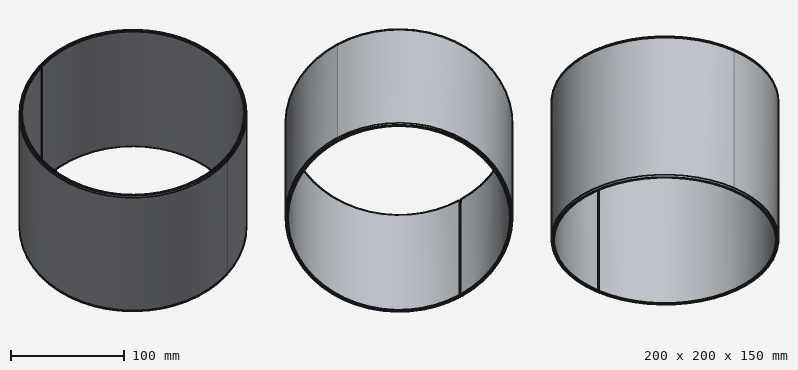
import cadquery as cq

outer_diameter = 200.0
height = 150.0
wall = 2.5
bevel_height = 2.0
bevel_depth = 0.65
bore_chamfer = 0.5
slit_width = 1.5

outer_radius = outer_diameter / 2
inner_radius = outer_radius - wall
rim_outer_radius = outer_radius - bevel_depth
rim_inner_radius = inner_radius + bore_chamfer

wall_section = [
    (rim_inner_radius, 0),
    (rim_outer_radius, 0),
    (outer_radius, bevel_height),
    (outer_radius, height - bevel_height),
    (rim_outer_radius, height),
    (rim_inner_radius, height),
    (inner_radius, height - bore_chamfer),
    (inner_radius, bore_chamfer),
]
sleeve = cq.Workplane("XZ").polyline(wall_section).close().revolve(360, (0, 0), (0, 1))

slit = (
    cq.Workplane("XY")
    .box(outer_radius, slit_width, height, centered=False)
    .translate((-outer_radius, 0, 0))
)

result = sleeve.cut(slit)